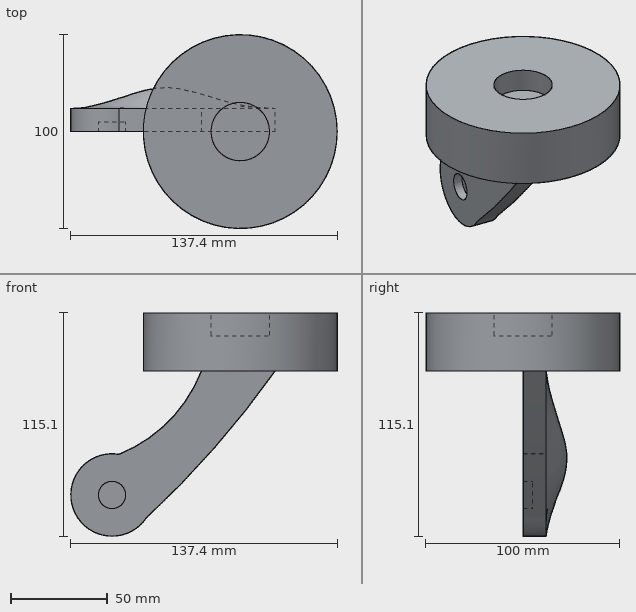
import cadquery as cq
import math

overall_length = 137.4
overall_height = 115.1

disc_radius = 50.0
disc_height = 30.0
bore_diameter = 30.1
bore_depth = 12.0

plate_thickness = 12.0
hub_radius = 21.3
hub_x = -(overall_length - disc_radius - hub_radius)
hub_z = -(overall_height - hub_radius)
pin_hole_diameter = 14.0
pin_hole_depth = 5.0

arm_top_left = (-20.0, -disc_height)
arm_left_middle = (-36.8, -55.8)
arm_top_right = (18.0, -disc_height)
arm_right_middle = (-12.5, -68.7)
left_join_offset = 3.6
right_join_offset = 17.7

dome_height = 10.3
dome_peak_x = -40.5
dome_peak_z = -74.2


def hub_point(offset_x, side):
    """Point of the hub rim above (side = 1) or below (side = -1) its centre."""
    rise = math.sqrt(hub_radius**2 - offset_x**2)
    return (hub_x + offset_x, hub_z + side * rise)


def make_disc():
    disc = cq.Workplane("XY").circle(disc_radius).extrude(-disc_height)
    bore = cq.Workplane("XY").circle(bore_diameter / 2).extrude(-bore_depth)
    return disc.cut(bore)


def make_plate():
    plate = (
        cq.Workplane("XZ")
        .moveTo(*arm_top_right)
        .lineTo(*arm_top_left)
        .threePointArc(arm_left_middle, hub_point(left_join_offset, 1))
        .threePointArc((hub_x - hub_radius, hub_z), hub_point(right_join_offset, -1))
        .threePointArc(arm_right_middle, arm_top_right)
        .close()
        .extrude(-plate_thickness)
    )
    pin_hole = (
        cq.Workplane("XZ")
        .center(hub_x, hub_z)
        .circle(pin_hole_diameter / 2)
        .extrude(-pin_hole_depth)
    )
    return plate.cut(pin_hole)


def make_dome(plate):
    """Smooth skin over the whole back face, closed into a solid."""
    base = plate.faces(">Y").val()
    peak = cq.Vector(dome_peak_x, plate_thickness + dome_height, dome_peak_z)
    skin = cq.Face.makeNSidedSurface(base.Edges(), [peak])
    shell = cq.Shell.makeShell([base, skin])
    return cq.Workplane(cq.Solid.makeSolid(shell))


plate = make_plate()
result = make_disc().union(plate).union(make_dome(plate))